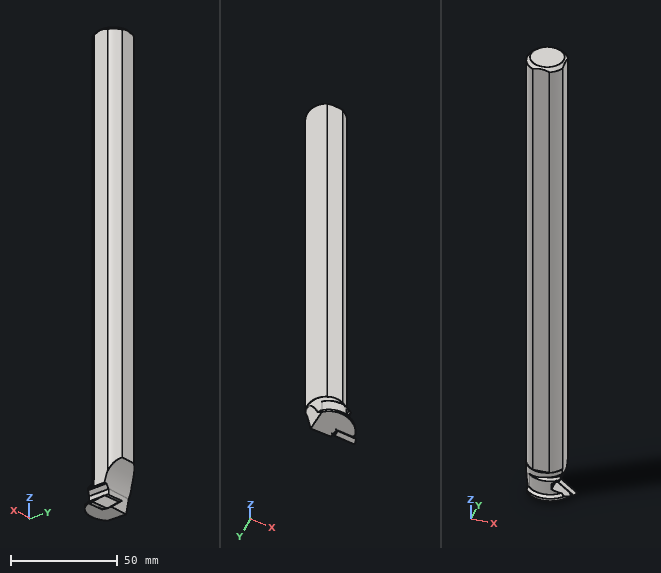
import cadquery as cq
import math

LENGTH = 251.2
COLLAR_RADIUS = 10.0
COLLAR_STEP = 0.13
SHANK_RADIUS = COLLAR_RADIUS - COLLAR_STEP
FLAT_DISTANCE = 9.0
COLLAR_TOP_Z = 15.5
END_CHAMFER = 1.8
OVERSIZE = 30.2
FLOOR_MARGIN = 2.5

HEAD_CENTER = (1.5, 0.0)
WALL_RADIUS = 11.0
LIP_RADIUS = 12.5
BOTTOM_Z = 1.3
LIP_EDGE_Z = 2.8
LIP_ROOT_Z = 4.0
SHOULDER_Z = 11.8
SHOULDER_TOP_Z = 13.0
SHOULDER_WIDTH = 1.3

FACE_Y = 1.8
SCOOP_MIDDLE = (4.0, 17.0)
SCOOP_END_Z = 10.0
SCOOP_TOP_Z = 24.5

TILT_TOP_Z = 14.0
TILT_BOTTOM_X = -7.3
TILT_YAW = 2.0

THROAT_X = 5.5
THROAT_TOP_Z = 9.8

NOSE_X = 14.8
INSERT_ANGLE = 35.0
LEAD_ANGLE = 3.0
INSCRIBED_DIAMETER = 6.3
INSERT_THICKNESS = 3.0
RELIEF_ANGLE = 7.0
NOSE_RADIUS = 0.3

edge_length = INSCRIBED_DIAMETER / math.sin(math.radians(INSERT_ANGLE))
lower_angle = math.radians(LEAD_ANGLE)
upper_angle = math.radians(LEAD_ANGLE + INSERT_ANGLE)

corner_distance = NOSE_RADIUS / math.sin(math.radians(INSERT_ANGLE) / 2)
middle_angle = (lower_angle + upper_angle) / 2
insert_tip = (
    NOSE_X - NOSE_RADIUS + corner_distance * math.cos(middle_angle),
    NOSE_RADIUS - corner_distance * math.sin(middle_angle),
)
relief = INSERT_THICKNESS * math.tan(math.radians(RELIEF_ANGLE))


def along_edge(start, angle, distance):
    """Point at a distance from start, toward -X and rising by the angle."""
    return (start[0] - distance * math.cos(angle), start[1] + distance * math.sin(angle))


def rhombus():
    """Insert outline on the XZ plane, with its acute corners rounded later."""
    lower = along_edge(insert_tip, lower_angle, edge_length)
    upper = along_edge(insert_tip, upper_angle, edge_length)
    far = along_edge(lower, upper_angle, edge_length)
    return cq.Workplane("XZ").polyline([insert_tip, upper, far, lower]).close()


def make_insert():
    body = rhombus().extrude(INSERT_THICKNESS, taper=RELIEF_ANGLE)
    rounded = rhombus().extrude(INSERT_THICKNESS).edges("|Y").edges(">X or <X").fillet(NOSE_RADIUS)
    return body.intersect(rounded)


def make_shank():
    shank = cq.Workplane("XY").workplane(offset=COLLAR_TOP_Z).circle(SHANK_RADIUS)
    shank = shank.extrude(LENGTH - COLLAR_TOP_Z).faces(">Z").chamfer(END_CHAMFER)
    for side in (-1, 1):
        flat = cq.Workplane("XY").box(2 * OVERSIZE, OVERSIZE, LENGTH, centered=(True, True, False))
        shank = shank.cut(flat.translate((0, side * (FLAT_DISTANCE + OVERSIZE / 2), COLLAR_TOP_Z)))
    return shank


def make_collar():
    """Round core that joins the shank and runs down through the head."""
    collar = cq.Workplane("XY").workplane(offset=BOTTOM_Z).circle(COLLAR_RADIUS)
    return collar.extrude(COLLAR_TOP_Z - BOTTOM_Z)


def make_head():
    profile = [
        (0, BOTTOM_Z),
        (LIP_RADIUS, BOTTOM_Z),
        (LIP_RADIUS, LIP_EDGE_Z),
        (WALL_RADIUS, LIP_ROOT_Z),
        (WALL_RADIUS, SHOULDER_Z),
        (WALL_RADIUS - SHOULDER_WIDTH, SHOULDER_TOP_Z),
        (0, SHOULDER_TOP_Z),
    ]
    head = cq.Workplane("XZ").polyline(profile).close().revolve(360, (0, 0), (0, 1))
    return head.translate((*HEAD_CENTER, 0))


def side_flat():
    """Block beyond the +X flat, which runs down to the throat."""
    block = cq.Workplane("XY").box(OVERSIZE, 2 * OVERSIZE, LENGTH, centered=(False, True, False))
    return block.translate((FLAT_DISTANCE, 0, THROAT_TOP_Z))


def scoop():
    return (
        cq.Workplane("YZ", origin=(-OVERSIZE, 0, 0))
        .moveTo(FACE_Y, -FLOOR_MARGIN)
        .lineTo(FACE_Y, SCOOP_END_Z)
        .threePointArc(SCOOP_MIDDLE, (FLAT_DISTANCE, SCOOP_TOP_Z))
        .lineTo(OVERSIZE, SCOOP_TOP_Z)
        .lineTo(OVERSIZE, -FLOOR_MARGIN)
        .close()
        .extrude(2 * OVERSIZE)
    )


def through_y(points):
    """Block with the given XZ outline, crossing the whole bar along Y."""
    return cq.Workplane("XZ").polyline(points).close().extrude(OVERSIZE, both=True)


def tilted_side():
    slope = (COLLAR_RADIUS + TILT_BOTTOM_X) / (TILT_TOP_Z - BOTTOM_Z)
    low_x = TILT_BOTTOM_X + slope * BOTTOM_Z
    side = through_y([(-COLLAR_RADIUS, TILT_TOP_Z), (low_x, 0), (-OVERSIZE, 0), (-OVERSIZE, TILT_TOP_Z)])
    pivot = (-COLLAR_RADIUS, 0, 0)
    return side.rotate(pivot, (-COLLAR_RADIUS, 0, 1), TILT_YAW)


def throat():
    """Clears the space above the insert's upper edge, flush with its underside."""
    relief_start = (insert_tip[0] - relief / math.sin(upper_angle), insert_tip[1])
    slope_length = (relief_start[0] - THROAT_X) / math.cos(upper_angle)
    slope_top = along_edge(relief_start, upper_angle, slope_length)
    shoulder_x = THROAT_X + SHOULDER_TOP_Z - THROAT_TOP_Z
    return through_y([
        relief_start,
        slope_top,
        (THROAT_X, THROAT_TOP_Z),
        (shoulder_x - (SHOULDER_TOP_Z - SHOULDER_Z), SHOULDER_Z),
        (OVERSIZE, SHOULDER_Z),
        (OVERSIZE, insert_tip[1]),
    ])


def make_holder(insert):
    holder = make_shank().union(make_collar()).union(make_head())
    for cutter in (side_flat(), scoop(), tilted_side(), throat()):
        holder = holder.cut(cutter)
    return holder.cut(rhombus().extrude(-OVERSIZE)).cut(insert)


insert = make_insert()
holder = make_holder(insert)

result = cq.Compound.makeCompound([*holder.solids().vals(), *insert.solids().vals()])